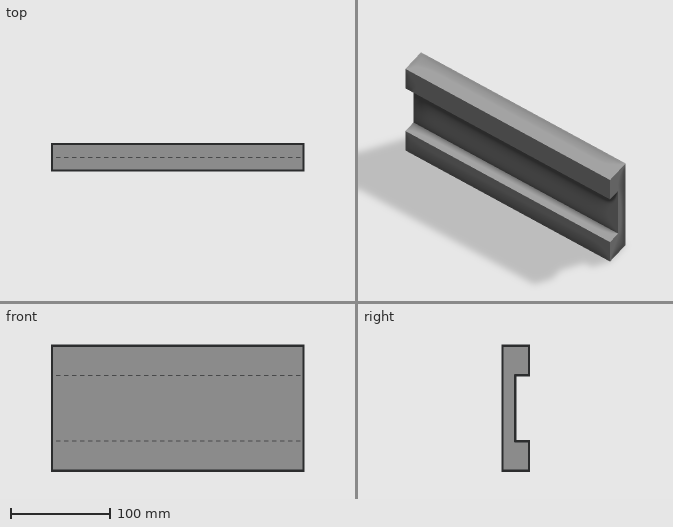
import cadquery as cq

length = 253.0
thickness = 27.0
height = 126.0
flange_height = 30.0
channel_depth = 14.0

channel_height = height - 2 * flange_height


def make_plate():
    """Rectangular plate centred on the origin."""
    return cq.Workplane("XY").box(length, thickness, height)


def make_channel():
    """Full-length rectangular channel sunk into the +Y face."""
    channel_center_y = (thickness - channel_depth) / 2
    return (
        cq.Workplane("XY")
        .box(length, channel_depth, channel_height)
        .translate((0, channel_center_y, 0))
    )


result = make_plate().cut(make_channel())